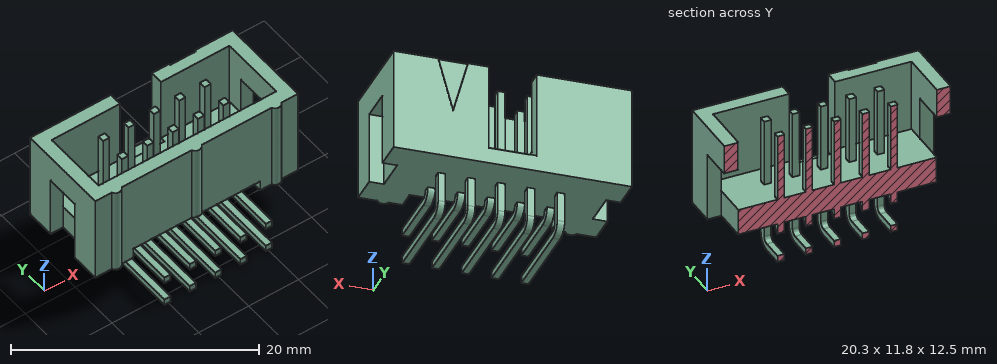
import cadquery as cq
import math

length = 20.32
depth = 8.88
height = 8.88
wall = 1.25
floor_top = 2.4
front_y = -depth / 2
back_y = depth / 2

notch_width = 4.08
notch_depth = 1.75
notch_bottom = 1.4

slot_width = 3.3
slot_top = 6.22

rib_spacing = 8.0
rib_width = 0.98
rib_projection = 0.33

relief_width = 12.7
relief_height = 1.04
relief_angle = 30.0

pin_count = 5
pitch = 2.55
pin_size = 0.63
pin_top = 8.45
pin_reach = 2.93
pin_end_y = front_y - pin_reach
lowest_z = -3.64
bend_inner_radius = 0.45

mark_width = 2.55
mark_height = 4.6
mark_depth = 0.15
mark_x = 2 * pitch


def make_box(size_x, y_min, y_max, z_min, z_max):
    """Box centred on X between the given Y and Z limits."""
    return cq.Workplane("XY").box(
        size_x, y_max - y_min, z_max - z_min, centered=(True, False, False)
    ).translate((0, y_min, z_min))


def make_ribs():
    """Three full-height ribs with an arc-shaped section, rooted in the front wall."""
    root_y = front_y + wall / 2
    ribs = cq.Workplane("XY")
    for x in (-rib_spacing, 0, rib_spacing):
        ribs = ribs.add(
            cq.Workplane("XY")
            .moveTo(x - rib_width / 2, front_y)
            .threePointArc((x, front_y - rib_projection), (x + rib_width / 2, front_y))
            .lineTo(x + rib_width / 2, root_y)
            .lineTo(x - rib_width / 2, root_y)
            .close()
            .extrude(height)
        )
    return ribs.combine()


def make_relief():
    """Wedge under a plane that falls from the front face to the bottom."""
    slope = math.tan(math.radians(relief_angle))
    outer_y = front_y - 2 * rib_projection
    outer_z = relief_height + 2 * rib_projection * slope
    return (
        cq.Workplane("YZ")
        .moveTo(outer_y, 0)
        .lineTo(front_y + relief_height / slope, 0)
        .lineTo(outer_y, outer_z)
        .close()
        .extrude(relief_width / 2, both=True)
    )


def make_mark():
    """Shallow triangle pointing down from the top edge of the back face."""
    return (
        cq.Workplane("XZ", origin=(0, back_y, 0))
        .moveTo(mark_x - mark_width / 2, height)
        .lineTo(mark_x + mark_width / 2, height)
        .lineTo(mark_x, height - mark_height)
        .close()
        .extrude(mark_depth)
    )


def make_pin(x, y, bottom_z):
    """Square wire running down at y, then bent forward with its underside at bottom_z."""
    radius = bend_inner_radius + pin_size / 2
    leg_z = bottom_z + pin_size / 2
    path = (
        cq.Workplane("YZ", origin=(x, 0, 0))
        .moveTo(y, pin_top)
        .lineTo(y, leg_z + radius)
        .radiusArc((y - radius, leg_z), radius)
        .lineTo(pin_end_y, leg_z)
    )
    return cq.Workplane("XY", origin=(x, y, pin_top)).rect(pin_size, pin_size).sweep(path)


housing = make_box(length, front_y, back_y, 0, height).union(make_ribs())
housing = housing.cut(make_box(length - 2 * wall, front_y + wall, back_y - wall, floor_top, height))
housing = housing.cut(make_box(notch_width, back_y - notch_depth, back_y, notch_bottom, height))
for side in (-1, 1):
    slot = make_box(wall, -slot_width / 2, slot_width / 2, 0, slot_top)
    housing = housing.cut(slot.translate((side * (length - wall) / 2, 0, 0)))
housing = housing.cut(make_relief()).cut(make_mark())

result = housing
for column in range(pin_count):
    pin_x = (column - (pin_count - 1) / 2) * pitch
    result = result.union(make_pin(pin_x, pitch / 2, lowest_z))
    result = result.union(make_pin(pin_x, -pitch / 2, lowest_z + pitch))